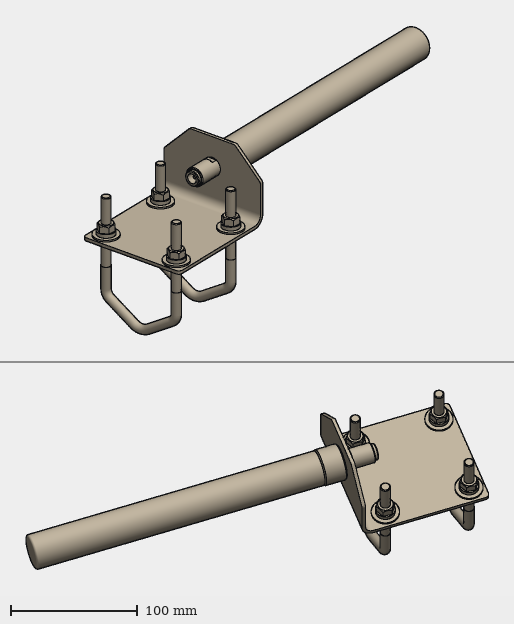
import cadquery as cq
import math

BRACKET_WIDTH = 96.5
PLATE_DEPTH = 107.0
FLANGE_HEIGHT = 64.0
SHEET_THICKNESS = 3.0
BEND_INNER_RADIUS = 7.0
FLANGE_CHAMFER = 25.5
CORNER_RADIUS = 3.5

BOLT_SPACING = 70.0
BOLT_EDGE_MARGIN = 13.0
THREAD_DIAMETER = 8.0
THREAD_TOP = 38.0
THREAD_BOTTOM = -23.5
THREAD_CHAMFER = 0.7
SHANK_DIAMETER = 8.5
SHANK_BOTTOM = -44.5
BOLT_SIDE_BEND_RADIUS = 9.0
BOLT_BOTTOM_BEND_RADIUS = 13.2
BOLT_SLOPE = math.radians(32)
WASHER_DIAMETER = 22.5
WASHER_THICKNESS = 1.5
LOCK_WASHER_DIAMETER = 15.8
LOCK_WASHER_THICKNESS = 3.3
NUT_ACROSS_FLATS = 13.0
NUT_HEIGHT = 6.5
NUT_TURN = 25
NUT_TOP_DIAMETER = 12.0
NUT_CHAMFER_ANGLE = math.radians(45)

ANTENNA_AXIS_HEIGHT = 37.5
OVERALL_LENGTH = 366.5
TUBE_DIAMETER = 28.5
TUBE_END_FILLET = 2.0
COLLAR_DIAMETER = 29.7
COLLAR_LENGTH = 18.7
COLLAR_CHAMFER = 1.0
CONNECTOR_DIAMETER = 16.5
CONNECTOR_LENGTH = 23.0
WRENCH_FLATS = 14.3
WRENCH_FLAT_LENGTH = 4.8
CONNECTOR_CHAMFER = 0.7
TIP_DIAMETER = 13.5
TIP_LENGTH = 3.0
TIP_CHAMFER = 0.7
SOCKET_DIAMETER = 8.5
SOCKET_DEPTH = 9.0
PIN_DIAMETER = 3.08
PIN_RECESS = 3.5

FRONT_BOLT_Y = BOLT_EDGE_MARGIN - PLATE_DEPTH
REAR_BOLT_Y = FRONT_BOLT_Y + BOLT_SPACING
LEG_X = BOLT_SPACING / 2


def disc(diameter, bottom, top):
    """Round disc about the Z axis between two heights."""
    return cq.Workplane("XY").workplane(offset=bottom).circle(diameter / 2).extrude(top - bottom)


def antenna_rod(diameter, y_start, y_end):
    """Round rod on the antenna axis between two Y positions."""
    return (
        cq.Workplane("XZ", origin=(0, y_end, ANTENNA_AXIS_HEIGHT))
        .circle(diameter / 2)
        .extrude(y_end - y_start)
    )


def make_bracket():
    plate = (
        cq.Workplane("XY")
        .box(BRACKET_WIDTH, PLATE_DEPTH, SHEET_THICKNESS, centered=(True, False, False))
        .translate((0, -PLATE_DEPTH, 0))
        .edges("|Z and <Y")
        .fillet(CORNER_RADIUS)
    )
    flange = (
        cq.Workplane("XY")
        .box(BRACKET_WIDTH, SHEET_THICKNESS, FLANGE_HEIGHT, centered=(True, False, False))
        .translate((0, -SHEET_THICKNESS, 0))
        .edges("|Y and >Z")
        .chamfer(FLANGE_CHAMFER)
    )
    above_bend = cq.selectors.BoxSelector(
        (-BRACKET_WIDTH, -PLATE_DEPTH, FLANGE_HEIGHT / 2),
        (BRACKET_WIDTH, PLATE_DEPTH, FLANGE_HEIGHT * 2),
    )
    flange = flange.edges("|Y").edges(above_bend).fillet(CORNER_RADIUS)
    inner_corner = cq.selectors.NearestToPointSelector((0, -SHEET_THICKNESS, SHEET_THICKNESS))
    outer_corner = cq.selectors.NearestToPointSelector((0, 0, 0))
    return (
        plate.union(flange)
        .edges(inner_corner)
        .fillet(BEND_INNER_RADIUS)
        .edges(outer_corner)
        .fillet(BEND_INNER_RADIUS + SHEET_THICKNESS)
    )


def bolt_centerline():
    """Symmetric path in the XZ plane: leg, bend, sloping run, bottom bend, and back up."""
    r = BOLT_SIDE_BEND_RADIUS
    bottom_r = BOLT_BOTTOM_BEND_RADIUS

    def on_side_bend(angle):
        return (-LEG_X + r * (1 - math.cos(angle)), SHANK_BOTTOM - r * math.sin(angle))

    side_turn = math.pi / 2 - BOLT_SLOPE
    side_middle = on_side_bend(side_turn / 2)
    slope_start = on_side_bend(side_turn)
    slope_end_x = -bottom_r * math.sin(BOLT_SLOPE)
    slope_end_z = slope_start[1] - (slope_end_x - slope_start[0]) * math.tan(BOLT_SLOPE)
    lowest_z = slope_end_z - bottom_r * (1 - math.cos(BOLT_SLOPE))
    return (
        cq.Workplane("XZ")
        .moveTo(-LEG_X, THREAD_BOTTOM)
        .lineTo(-LEG_X, SHANK_BOTTOM)
        .threePointArc(side_middle, slope_start)
        .lineTo(slope_end_x, slope_end_z)
        .threePointArc((0, lowest_z), (-slope_end_x, slope_end_z))
        .lineTo(-slope_start[0], slope_start[1])
        .threePointArc((-side_middle[0], side_middle[1]), (LEG_X, SHANK_BOTTOM))
        .lineTo(LEG_X, THREAD_BOTTOM)
    )


def make_u_bolt():
    shank_profile = cq.Workplane("XY", origin=(-LEG_X, 0, THREAD_BOTTOM)).circle(SHANK_DIAMETER / 2)
    bolt = shank_profile.sweep(bolt_centerline())
    thread = disc(THREAD_DIAMETER, THREAD_BOTTOM, THREAD_TOP).faces(">Z").chamfer(THREAD_CHAMFER)
    for x in (-LEG_X, LEG_X):
        bolt = bolt.union(thread.translate((x, 0, 0)))
    return bolt


def make_nut_stack():
    """Flat washer, lock washer and hexagon nut, standing on the plate around the Z axis."""
    washer_top = SHEET_THICKNESS + WASHER_THICKNESS
    nut_bottom = washer_top + LOCK_WASHER_THICKNESS
    nut_top = nut_bottom + NUT_HEIGHT
    across_corners = NUT_ACROSS_FLATS / math.cos(math.pi / 6)
    corner_drop = (across_corners - NUT_TOP_DIAMETER) / 2 * math.tan(NUT_CHAMFER_ANGLE)
    hexagon = (
        cq.Workplane("XY")
        .workplane(offset=nut_bottom)
        .transformed(rotate=(0, 0, NUT_TURN))
        .polygon(6, across_corners)
        .extrude(NUT_HEIGHT)
    )
    corner_cone = (
        cq.Workplane("XZ")
        .moveTo(0, nut_bottom)
        .lineTo(across_corners / 2, nut_bottom)
        .lineTo(across_corners / 2, nut_top - corner_drop)
        .lineTo(NUT_TOP_DIAMETER / 2, nut_top)
        .lineTo(0, nut_top)
        .close()
        .revolve(360, (0, 0), (0, 1))
    )
    washer = disc(WASHER_DIAMETER, SHEET_THICKNESS, washer_top)
    lock_washer = disc(LOCK_WASHER_DIAMETER, washer_top, nut_bottom)
    return washer.union(lock_washer).union(hexagon.intersect(corner_cone))


def make_mount():
    mount = make_bracket()
    u_bolt = make_u_bolt()
    nut_stack = make_nut_stack()
    for y in (REAR_BOLT_Y, FRONT_BOLT_Y):
        mount = mount.union(u_bolt.translate((0, y, 0)))
        for x in (-LEG_X, LEG_X):
            mount = mount.union(nut_stack.translate((x, y, 0)))
    flange_hole = antenna_rod(CONNECTOR_DIAMETER, -SHEET_THICKNESS, 0)
    return mount.cut(flange_hole)


def make_connector(rear_end):
    """Connector barrel with two wrench flats just in front of the flange and a chamfered front edge."""
    barrel = antenna_rod(CONNECTOR_DIAMETER, rear_end - CONNECTOR_LENGTH, 0)
    barrel = barrel.faces("<Y").chamfer(CONNECTOR_CHAMFER)
    flat_cutter = cq.Workplane("XY").box(CONNECTOR_DIAMETER, WRENCH_FLAT_LENGTH, CONNECTOR_DIAMETER)
    cutter_y = rear_end - WRENCH_FLAT_LENGTH / 2
    cutter_offset = (WRENCH_FLATS + CONNECTOR_DIAMETER) / 2
    for side in (-1, 1):
        cutter_z = ANTENNA_AXIS_HEIGHT + side * cutter_offset
        barrel = barrel.cut(flat_cutter.translate((0, cutter_y, cutter_z)))
    return barrel


def make_antenna():
    flange_front = -SHEET_THICKNESS
    connector_end = flange_front - CONNECTOR_LENGTH
    tip_end = connector_end - TIP_LENGTH
    socket_bottom = tip_end + SOCKET_DEPTH
    tube_end = OVERALL_LENGTH - PLATE_DEPTH

    tube = antenna_rod(TUBE_DIAMETER, COLLAR_LENGTH, tube_end)
    tube = tube.faces(">Y").edges().fillet(TUBE_END_FILLET)
    collar = antenna_rod(COLLAR_DIAMETER, 0, COLLAR_LENGTH)
    collar = collar.faces("<Y or >Y").chamfer(COLLAR_CHAMFER)
    connector = make_connector(flange_front)
    tip = antenna_rod(TIP_DIAMETER, tip_end, connector_end).faces("<Y").chamfer(TIP_CHAMFER)
    socket = antenna_rod(SOCKET_DIAMETER, tip_end, socket_bottom)
    pin = antenna_rod(PIN_DIAMETER, tip_end + PIN_RECESS, socket_bottom)
    return tube.union(collar).union(connector).union(tip).cut(socket).union(pin)


mount = make_mount()
antenna = make_antenna()
result = cq.Compound.makeCompound([mount.solids().val(), antenna.solids().val()])